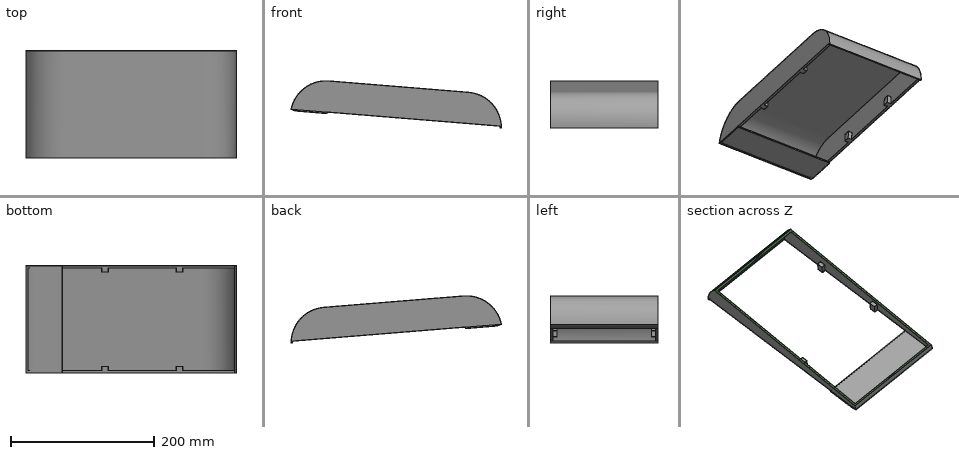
import cadquery as cq
import math

rim_length = 294.7
width = 150.0
height = 43.8
tilt = 4.65
end_radius = 50.0
top_wall = 3.0
side_wall = 3.5
crest_length = 3.2
lip_depth = 2.4
lip_root = 2.5
lip_thickness = 1.8
flap_length = 50.8
flap_thickness = 2.0
flap_nose_length = 10.5
flap_nose_slope = 0.4
lug_width = 5.5
lug_length = 8.8
lug_height = 11.8
lug_starts = (105.8, 210.0)

center_drop = end_radius - height
end_run = math.sqrt(end_radius**2 - center_drop**2)
near_center = end_run
far_center = rim_length - end_run


def arc_half_width(radius, level):
    """Horizontal distance from an end arc's centre to its point at a level above the rim."""
    return math.sqrt(radius**2 - (level + center_drop) ** 2)


def dome(inset, depth):
    """Solid under the end arcs and flat top, offset inward by the inset, with a narrow crest."""
    radius = end_radius - inset
    reach = arc_half_width(radius, 0)
    top = height - inset
    diagonal = radius * math.sqrt(0.5)
    crest_level = math.sqrt(radius**2 - crest_length**2) - center_drop
    return (
        cq.Workplane("XZ")
        .moveTo(near_center - reach, 0)
        .threePointArc((near_center - diagonal, diagonal - center_drop),
                       (near_center - crest_length, crest_level))
        .lineTo(near_center, top)
        .lineTo(far_center, top)
        .threePointArc((far_center + diagonal, diagonal - center_drop), (far_center + reach, 0))
        .close()
        .extrude(depth / 2, both=True)
    )


def make_lip():
    """Thin edge that continues the far rounded end below the rim."""
    tip = far_center + arc_half_width(end_radius, -lip_depth)
    middle = far_center + arc_half_width(end_radius, -lip_depth / 2)
    return (
        cq.Workplane("XZ")
        .moveTo(rim_length - lip_root, 0)
        .lineTo(rim_length, 0)
        .threePointArc((middle, -lip_depth / 2), (tip, -lip_depth))
        .lineTo(tip - lip_thickness, -lip_depth)
        .close()
        .extrude(width / 2, both=True)
    )


def make_lug(start, side):
    """Block on the inner face of a side wall, flush with the rim."""
    center_y = side * (width / 2 - side_wall - lug_width / 2)
    return (
        cq.Workplane("XY")
        .box(lug_length, lug_width, lug_height, centered=(False, True, False))
        .translate((start, center_y, 0))
    )


def make_cover():
    """Hollow cover, open at the bottom."""
    cover = dome(0, width).cut(dome(top_wall, width - 2 * side_wall)).union(make_lip())
    for start in lug_starts:
        for side in (-1, 1):
            cover = cover.union(make_lug(start, side))
    return cover


def make_flap():
    """Thin plate under the near end of the rim, with a rounded nose."""
    return (
        cq.Workplane("XZ")
        .lineTo(flap_length, 0)
        .lineTo(flap_length, -flap_thickness)
        .lineTo(flap_nose_length, -flap_thickness)
        .spline([(0, 0)], tangents=[(-1, 0), (-1, flap_nose_slope)], includeCurrent=True)
        .close()
        .extrude(width / 2, both=True)
    )


def tilted(body):
    """Body turned about the near rim edge so that the rim slopes down toward +X."""
    return body.rotate((0, 0, 0), (0, 1, 0), tilt)


cover = tilted(make_cover())
flap = tilted(make_flap())

result = cq.Compound.makeCompound([cover.val(), flap.val()])